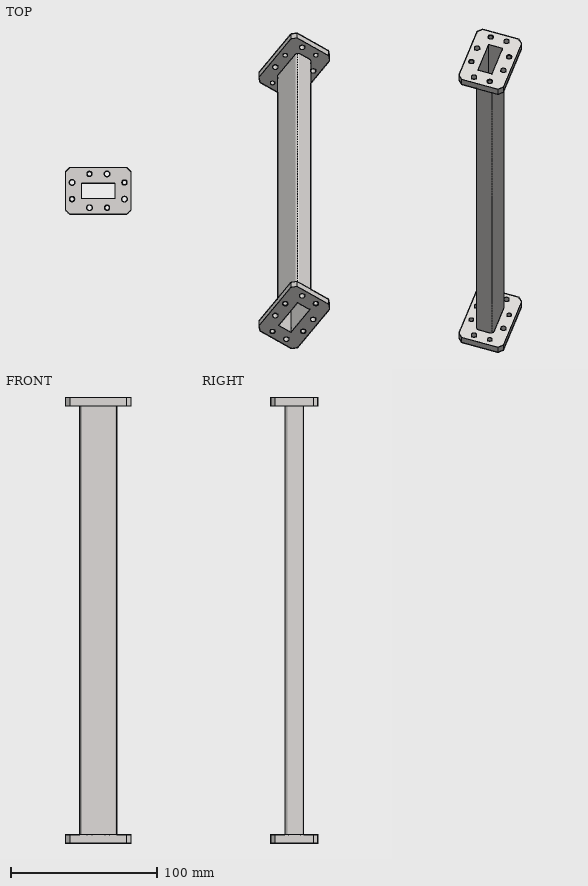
import cadquery as cq

total_length = 304.8
top_end_z = total_length / 2
bottom_end_z = -top_end_z

bore_width = 22.86
bore_height = 10.16
wall = 1.27
tube_width = bore_width + 2 * wall
tube_height = bore_height + 2 * wall
tube_corner_radius = 2.5

flange_width = 44.86
flange_height = 32.16
flange_thickness = 6.0
flange_corner_chamfer = 3.0

clearance_diameter = 3.7
tapping_diameter = 3.1
countersink_diameter = clearance_diameter
countersink_taper = 45
countersink_depth = (countersink_diameter - tapping_diameter) / 2
long_edge_hole_x = 6.0
long_edge_hole_y = 11.55
short_edge_hole_x = 17.9
short_edge_hole_y = 5.7

clearance_centres = [
    (long_edge_hole_x, long_edge_hole_y),
    (-long_edge_hole_x, -long_edge_hole_y),
    (short_edge_hole_x, -short_edge_hole_y),
    (-short_edge_hole_x, short_edge_hole_y),
]
tapping_centres = [(-x, y) for x, y in clearance_centres]


def bar(width, height, length, bottom_z):
    """Rectangular bar along Z, centred on the Z axis."""
    return cq.Workplane("XY", origin=(0, 0, bottom_z)).rect(width, height).extrude(length)


def circles(centres, diameter, z):
    """Circles of one size in a horizontal plane."""
    return cq.Workplane("XY", origin=(0, 0, z)).pushPoints(centres).circle(diameter / 2)


def countersinks(outer_z, inward):
    """Cones that open the tapping holes at the outer face of a flange."""
    mouths = circles(tapping_centres, countersink_diameter, outer_z)
    return mouths.extrude(inward * countersink_depth, taper=countersink_taper)


def flange(outer_z, inward):
    """End plate with chamfered corners, through bolt holes and countersunk tapping holes.

    outer_z is the height of the mating face; inward is +1 or -1, pointing along Z to the part's centre.
    """
    bottom_z = min(outer_z, outer_z + inward * flange_thickness)
    plate = bar(flange_width, flange_height, flange_thickness, bottom_z)
    plate = plate.edges("|Z").chamfer(flange_corner_chamfer)
    plate = plate.cut(circles(clearance_centres, clearance_diameter, bottom_z).extrude(flange_thickness))
    plate = plate.cut(circles(tapping_centres, tapping_diameter, bottom_z).extrude(flange_thickness))
    return plate.cut(countersinks(outer_z, inward))


tube = bar(tube_width, tube_height, total_length, bottom_end_z)
tube = tube.edges("|Z").fillet(tube_corner_radius)
bore = bar(bore_width, bore_height, total_length, bottom_end_z)

result = tube.union(flange(bottom_end_z, 1)).union(flange(top_end_z, -1)).cut(bore)